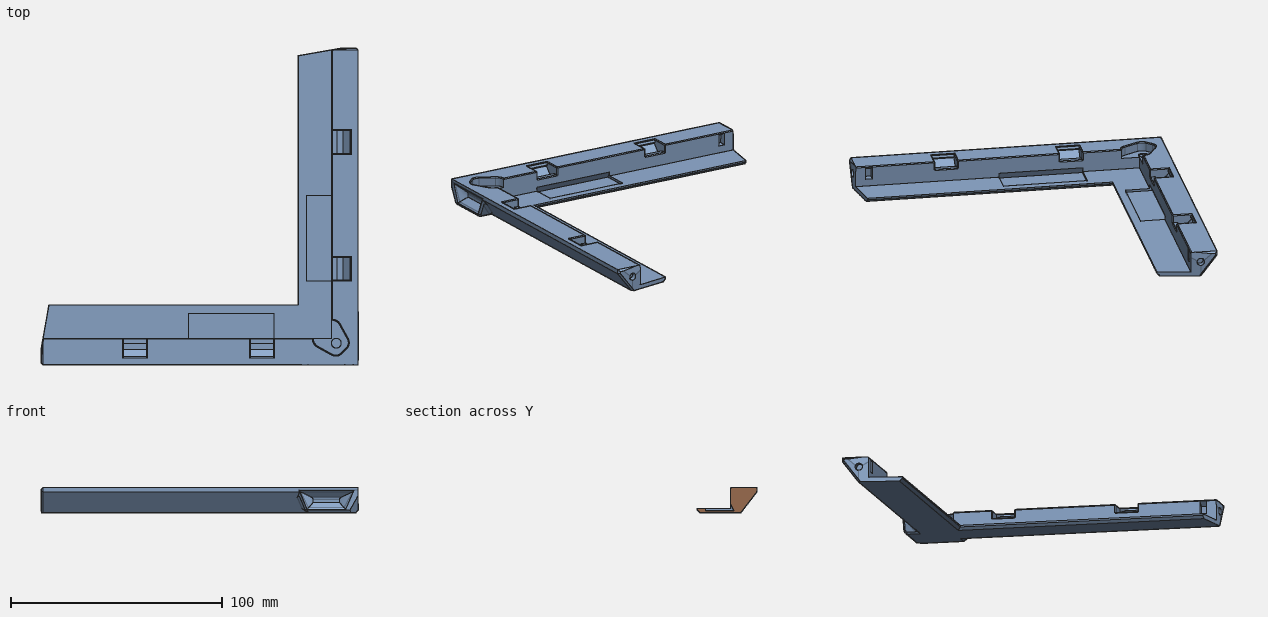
import cadquery as cq
import math

SIZE = 149.7
HEIGHT = 12.0
ARM_WIDTH = 28.5
MARGIN = 7.5
CLEARANCE = 0.7
COINCIDENT = 0.01

RAIL_OUTER = 0.1
RAIL_INNER = 12.7
RAIL_BEVEL = 0.5
UNDERCUT_TOP = 9.9
UNDERCUT_FOOT = 7.8
FLANGE_TOP = 2.1
FLANGE_EDGE_CHAMFER = 1.3

END_TAPER_ANGLE = 10.0
END_TAPER_START = 8.0
END_TOP_LEAN = 0.12
END_TOP_SKEW = 0.87
END_TOP_START = 1.8
END_BEVEL = 0.9
END_HOLE_DIAMETER = 3.5
END_HOLE_Y = 8.1
END_HOLE_Z = 7.2
END_HOLE_DEPTH = 3.0

NOTCH_START = 5.7
NOTCH_WIDTH = 3.1
NOTCH_BOTTOM = 5.5
NOTCH_SHOULDER = 9.6
NOTCH_DEPTH = 3.3
NOTCH_BACK_LEAN = 0.5

WINDOW_STARTS = (38.5, 98.4)
WINDOW_WIDTH = 11.7
WINDOW_BEVEL = 0.5
WINDOW_BACK = 3.3
WINDOW_BACK_CHAMFER = 0.7
WINDOW_BACK_CHAMFER_HEIGHT = 1.5
WINDOW_LIP = 8.1
WINDOW_LIP_EDGE = 10.2
GROOVE_EDGE = 7.3
GROOVE_FLOOR = 5.4
RAMP_TOP = 9.7
RAMP_END = 3.3

PANEL_START = 69.6
PANEL_LENGTH = 40.3
PANEL_EDGE = 24.4
PANEL_FLOOR = 1.0
PANEL_TOP = 4.0
PANEL_UNDER_RAIL = 1.5

BLOCK_TOP_START = 120.7
BLOCK_FOOT_START = 125.2
BLOCK_TOP = 10.8
BLOCK_CHAMFER_HEIGHT = 1.3
BLOCK_CHAMFER_DEPTH = 1.2
BLOCK_SIDE_CHAMFER = 0.9
BLOCK_ROOT_FILLET = 1.5
RECESS_RIM = 0.7
RECESS_RIM_DEPTH = 0.6
RECESS_DEPTH = 3.9
RECESS_FILLET = 1.5
RECESS_TOP = 9.9
RECESS_BOTTOM = 2.4
RECESS_TOP_SPAN = (122.5, 147.0)
RECESS_BOTTOM_SPAN = (126.2, 143.0)
RECESS_BACK_SPAN = (128.3, 140.9)
RECESS_BACK_TOP = 7.0
RECESS_BACK_BOTTOM = 4.8
CORNER_FACET_TOP = 8.5
CORNER_FACET_DEPTH = 3.3

POCKET_DEPTH = 4.5
POCKET_BEVEL = 0.5
POCKET_BEVEL_TAPER = -45.0
POCKET_END = 21.3
POCKET_SHOULDER = 139.7
POCKET_TIP = (145.8, 10.0)
POCKET_SHOULDER_RADIUS = 4.2
POCKET_TIP_RADIUS = 3.5
PIVOT_DIAMETER = 4.6
PIVOT_DEPTH = 0.5


def along_x(profile, start, length):
    """Extrude a (y, z) outline along X."""
    return cq.Workplane("YZ").workplane(offset=start).polyline(profile).close().extrude(length)


def half_space(origin, normal):
    """Large block lying on the normal side of a plane."""
    return cq.Workplane(cq.Plane(origin=origin, normal=normal)).rect(4 * SIZE, 4 * SIZE).extrude(SIZE)


def mirrored(body):
    """Reflect about the vertical mitre plane x + y = SIZE."""
    return body.mirror((1, 1, 0), (SIZE / 2, SIZE / 2, 0))


def loft_xz(outline_1, y_1, outline_2, y_2):
    """Straight-sided solid between two (x, z) outlines at different y."""
    front = cq.Wire.makePolygon([(x, y_1, z) for x, z in outline_1], close=True)
    back = cq.Wire.makePolygon([(x, y_2, z) for x, z in outline_2], close=True)
    return cq.Workplane(cq.Solid.makeLoft([front, back], True))


def arm_blank():
    profile = [
        (RAIL_OUTER, HEIGHT),
        (RAIL_OUTER, UNDERCUT_TOP),
        (UNDERCUT_FOOT, 0),
        (ARM_WIDTH - FLANGE_EDGE_CHAMFER, 0),
        (ARM_WIDTH, FLANGE_EDGE_CHAMFER),
        (ARM_WIDTH, FLANGE_TOP),
        (RAIL_INNER, FLANGE_TOP),
        (RAIL_INNER, HEIGHT - RAIL_BEVEL),
        (RAIL_INNER - RAIL_BEVEL, HEIGHT),
    ]
    return along_x(profile, 0, SIZE)


def corner_block():
    profile = [
        (RAIL_OUTER, BLOCK_TOP),
        (0, BLOCK_CHAMFER_HEIGHT),
        (BLOCK_CHAMFER_DEPTH, 0),
        (UNDERCUT_FOOT, 0),
        (UNDERCUT_FOOT, BLOCK_TOP),
    ]
    face = [
        (BLOCK_TOP_START, BLOCK_TOP),
        (BLOCK_FOOT_START, 0),
        (SIZE, 0),
        (SIZE, BLOCK_TOP),
    ]
    outline = cq.Workplane("XZ").polyline(face).close().extrude(-UNDERCUT_FOOT)
    block = along_x(profile, BLOCK_TOP_START, SIZE - BLOCK_TOP_START).intersect(outline)
    free_edges = cq.selectors.BoxSelector(
        (BLOCK_TOP_START, 0, 0),
        (BLOCK_FOOT_START + CLEARANCE, UNDERCUT_FOOT - CLEARANCE, BLOCK_TOP - CLEARANCE),
    )
    return block.edges(free_edges).chamfer(BLOCK_SIDE_CHAMFER)


def finger_recess():
    mouth = [
        (RECESS_TOP_SPAN[0], RECESS_TOP),
        (RECESS_TOP_SPAN[1], RECESS_TOP),
        (RECESS_BOTTOM_SPAN[1], RECESS_BOTTOM),
        (RECESS_BOTTOM_SPAN[0], RECESS_BOTTOM),
    ]
    rim = [
        (RECESS_TOP_SPAN[0] - RECESS_RIM, RECESS_TOP + RECESS_RIM),
        (RECESS_TOP_SPAN[1] + RECESS_RIM, RECESS_TOP + RECESS_RIM),
        (RECESS_BOTTOM_SPAN[1] + RECESS_RIM, RECESS_BOTTOM - RECESS_RIM),
        (RECESS_BOTTOM_SPAN[0] - RECESS_RIM, RECESS_BOTTOM - RECESS_RIM),
    ]
    back = [
        (RECESS_BACK_SPAN[0], RECESS_BACK_TOP),
        (RECESS_BACK_SPAN[1], RECESS_BACK_TOP),
        (RECESS_BACK_SPAN[1], RECESS_BACK_BOTTOM),
        (RECESS_BACK_SPAN[0], RECESS_BACK_BOTTOM),
    ]
    cone = loft_xz(mouth, RECESS_RIM_DEPTH, back, RECESS_DEPTH)
    back_top = ((RECESS_BACK_SPAN[0] + RECESS_BACK_SPAN[1]) / 2, RECESS_DEPTH, RECESS_BACK_TOP)
    cone = cone.edges(cq.selectors.NearestToPointSelector(back_top)).fillet(RECESS_FILLET)
    return loft_xz(rim, 0, mouth, RECESS_RIM_DEPTH).union(cone)


def clip_window(start):
    beyond = RAIL_INNER + MARGIN
    profile = [
        (beyond, HEIGHT),
        (WINDOW_BACK, HEIGHT),
        (WINDOW_BACK + WINDOW_BACK_CHAMFER, HEIGHT - WINDOW_BACK_CHAMFER_HEIGHT),
        (RAMP_END, RAMP_TOP),
        (GROOVE_EDGE, GROOVE_FLOOR),
        (WINDOW_LIP_EDGE, GROOVE_FLOOR),
        (WINDOW_LIP_EDGE, WINDOW_LIP),
        (RAIL_INNER - WINDOW_BEVEL, WINDOW_LIP),
        (RAIL_INNER, WINDOW_LIP - WINDOW_BEVEL),
        (beyond, WINDOW_LIP - WINDOW_BEVEL),
    ]
    inner_width = WINDOW_WIDTH - 2 * WINDOW_BEVEL
    opening = along_x(profile, start + WINDOW_BEVEL, inner_width)
    top_bevel = (
        cq.Workplane("XZ", origin=(start + WINDOW_WIDTH / 2, WINDOW_BACK, 0))
        .polyline([
            (-inner_width / 2, HEIGHT - WINDOW_BEVEL),
            (inner_width / 2, HEIGHT - WINDOW_BEVEL),
            (WINDOW_WIDTH / 2, HEIGHT),
            (-WINDOW_WIDTH / 2, HEIGHT),
        ])
        .close()
        .extrude(WINDOW_BACK - RAIL_INNER)
    )
    side_bevel = (
        cq.Workplane("XY", origin=(start + WINDOW_WIDTH / 2, RAIL_INNER, WINDOW_LIP))
        .polyline([
            (-inner_width / 2, -WINDOW_BEVEL),
            (inner_width / 2, -WINDOW_BEVEL),
            (WINDOW_WIDTH / 2, 0),
            (-WINDOW_WIDTH / 2, 0),
        ])
        .close()
        .extrude(HEIGHT - WINDOW_LIP)
    )
    return opening.union(top_bevel).union(side_bevel)


def panel_recess():
    profile = [
        (PANEL_EDGE, PANEL_FLOOR),
        (PANEL_EDGE, PANEL_TOP),
        (RAIL_INNER, PANEL_TOP),
        (RAIL_INNER - PANEL_UNDER_RAIL, PANEL_FLOOR),
    ]
    return along_x(profile, PANEL_START, PANEL_LENGTH)


def end_notch():
    back = RAIL_INNER - NOTCH_DEPTH
    profile = [
        (RAIL_INNER, NOTCH_BOTTOM),
        (RAIL_INNER, HEIGHT - RAIL_BEVEL),
        (back, NOTCH_SHOULDER),
        (back - NOTCH_BACK_LEAN, NOTCH_BOTTOM),
    ]
    return along_x(profile, NOTCH_START, NOTCH_WIDTH)


def end_hole():
    return (
        cq.Workplane("YZ")
        .center(END_HOLE_Y, END_HOLE_Z)
        .circle(END_HOLE_DIAMETER / 2)
        .extrude(END_HOLE_DEPTH)
    )


def cut_end(arm):
    """Slope the free end back towards the flange edge and towards the top."""
    taper = math.tan(math.radians(END_TAPER_ANGLE))
    arm = arm.cut(half_space((0, END_TAPER_START, 0), (-1, taper, 0)))
    top_normal = (-1, END_TOP_LEAN * END_TOP_SKEW, END_TOP_LEAN)
    arm = arm.cut(half_space((0, END_TOP_START, HEIGHT), top_normal))
    slope = math.atan2(UNDERCUT_FOOT - RAIL_OUTER, UNDERCUT_TOP)
    bevelled_sides = ((0, 1), (-1, 0), (-math.cos(slope), -math.sin(slope)))
    for side_y, side_z in bevelled_sides:
        origin_z = UNDERCUT_TOP
        if side_z > 0:
            origin_z = HEIGHT
        arm = arm.cut(half_space((END_BEVEL, RAIL_OUTER, origin_z), (-1, side_y, side_z)))
    return arm


def corner_facet():
    """Wedge that bevels the vertical corner edge below its top."""
    plane = cq.Plane(origin=(SIZE, 0, 0), xDir=(1, -1, 0), normal=(-1, -1, 0))
    wedge = [
        (-CORNER_FACET_DEPTH, 0),
        (0, CORNER_FACET_TOP),
        (MARGIN, CORNER_FACET_TOP),
        (MARGIN, 0),
    ]
    return cq.Workplane(plane).polyline(wedge).close().extrude(MARGIN, both=True)


def pocket_outline():
    """Rounded outline of the corner pocket, symmetric about the mitre."""
    tip_x, tip_y = POCKET_TIP
    inner_x = SIZE - RAIL_INNER
    points = [
        (inner_x, POCKET_END),
        (POCKET_SHOULDER, POCKET_END),
        (tip_x, tip_y),
        (SIZE - tip_y, SIZE - tip_x),
        (SIZE - POCKET_END, SIZE - POCKET_SHOULDER),
        (SIZE - POCKET_END, RAIL_INNER),
        (inner_x, RAIL_INNER),
    ]
    wire = cq.Wire.makePolygon([(x, y, 0) for x, y in points], close=True)
    for radius, corners in ((POCKET_SHOULDER_RADIUS, (1, 4)), (POCKET_TIP_RADIUS, (2, 3))):
        targets = [cq.Vector(*points[corner], 0) for corner in corners]
        vertices = [
            vertex
            for vertex in wire.Vertices()
            if any((vertex.Center() - target).Length < COINCIDENT for target in targets)
        ]
        wire = wire.fillet2D(radius, vertices)
    return wire


def corner_pocket():
    outline = pocket_outline()
    up = cq.Vector(0, 0, 1)
    floor = HEIGHT - POCKET_DEPTH
    well = cq.Solid.extrudeLinear(outline, [], up * POCKET_DEPTH).translate((0, 0, floor))
    bevel = cq.Solid.extrudeLinear(outline, [], up * POCKET_BEVEL, POCKET_BEVEL_TAPER)
    bevel = bevel.translate((0, 0, HEIGHT - POCKET_BEVEL))
    return cq.Workplane(well).union(cq.Workplane(bevel))


def pivot_hole():
    centre = RAIL_INNER - PIVOT_DIAMETER / 2
    return (
        cq.Workplane("XY", origin=(SIZE - centre, centre, HEIGHT - POCKET_DEPTH))
        .circle(PIVOT_DIAMETER / 2)
        .extrude(-PIVOT_DEPTH)
    )


def fillet_block_root(arm):
    """Round the concave edge where the side of the block meets the undercut."""
    root = ((BLOCK_TOP_START + BLOCK_FOOT_START) / 2, UNDERCUT_FOOT / 2, UNDERCUT_TOP / 2)
    return arm.edges(cq.selectors.NearestToPointSelector(root)).fillet(BLOCK_ROOT_FILLET)


arm = fillet_block_root(arm_blank().union(corner_block()))
arm = arm.cut(half_space((SIZE / 2, SIZE / 2, 0), (1, 1, 0)))
arm = cut_end(arm)
arm = arm.cut(finger_recess()).cut(panel_recess()).cut(end_notch()).cut(end_hole())
for window_start in WINDOW_STARTS:
    arm = arm.cut(clip_window(window_start))

frame = arm.union(mirrored(arm))
result = frame.cut(corner_facet()).cut(corner_pocket()).cut(pivot_hole())